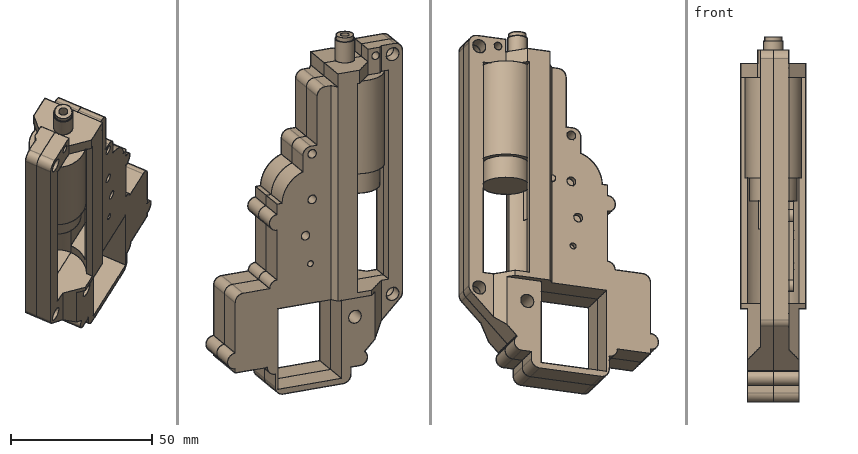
import cadquery as cq
import math


total_height = 129.5
bar_top = 124.8
slab_top = 120.0
chamber_top = 115.0
chamber_floor = 35.0
wide_bottom = 33.0
big = 259.0

wide_half = 11.5
body_half = 9.2
bar_right = 5.6
bar_left = 4.5

slab_rear = 28.5
rear_bevel_end = 30.0
tab_front = 9.3
tab_rear = 14.0
side_bevel_start = 15.3
slab_bevel_start = 20.0
window_front = 5.5
window_rear = 20.7

corner_radius = 3.1
bump_radius = 3.0
middle_bump_radius = 2.8
spine_rear = 35.5
lug_rear = 41.0
lug_top = 93.1
rear_wall = 51.1
gear_step = 73.2
tail_rear = 67.5
tail_top = 41.3
tail_bottom = 11.3
foot_rear = 51.8
foot_front = 22.3
foot_step = 5.8
toe_radius = 2.8
toe_y = 18.6
toe_z = foot_step + toe_radius
slope_corner = 27.8
gear_y, gear_z = 37.4, 72.6
gear_cover_radius = 11.8

upper_bump = (rear_wall, 66.2, bump_radius)
middle_bump = (rear_wall, tail_top, middle_bump_radius)
tail_bump = (tail_rear, 15.9, bump_radius)
foot_bump = (foot_rear, tail_bottom, corner_radius)
toe_bump = (toe_y, toe_z, toe_radius)

opening_front, opening_rear = 26.0, 50.8
opening_bottom = 2.2

mount_hole = 4.9
shaft_hole = 3.2
tab_hole = 2.8
pin_hole = 2.2
cross_holes = [
    (3.9, 120.8, mount_hole),
    (3.9, 29.0, mount_hole),
    (20.7, 24.9, mount_hole),
    (11.0, 121.8, tab_hole),
    (37.4, 90.1, shaft_hole),
    (gear_y, gear_z, shaft_hole),
    (40.0, 59.2, shaft_hole),
    (38.1, 48.2, pin_hole),
]

barrel_y = 16.0
barrel_radius = 10.1
barrel_bottom = 79.5
stub_radius = 8.4
stub_bottom = 71.3
chamber_radius = 10.2
nozzle_y = 20.5
nozzle_radius = 3.5
tip_radius = 3.1
tip_bottom = 127.9
nozzle_bore_radius = 1.5

cavity_wall = 2.1
cavity_half = 7.3
cavity_floor = 39.1
recess_half = 5.3
recess_floor = 61.4
recess_back = 26.5

nub_half = 10.0
nub_radius = 1.2
nub_z = 72.6


def extrude_across(sketch, x_from, x_to):
    """Extrude a closed (y, z) sketch from x_from to x_to."""
    return sketch.extrude(x_to - x_from).translate((x_from, 0, 0))


def disc_across(y, z, radius, x_from, x_to):
    """Cylinder along X."""
    return extrude_across(cq.Workplane("YZ").center(y, z).circle(radius), x_from, x_to)


def block(x_from, x_to, y_from, y_to, z_from, z_to):
    """Box given by its limits."""
    size = (x_to - x_from, y_to - y_from, z_to - z_from)
    return cq.Workplane("XY").box(*size, centered=False).translate((x_from, y_from, z_from))


def upright(y, radius, z_from, z_to):
    """Cylinder along Z on the parting plane."""
    return cq.Workplane("XY", origin=(0, y, z_from)).circle(radius).extrude(z_to - z_from)


def side_profile():
    """Side outline of the housing, extruded over the full width."""
    cover_rear_y = gear_y + math.sqrt(gear_cover_radius**2 - (gear_step - gear_z) ** 2)
    cover_top_z = gear_z + math.sqrt(gear_cover_radius**2 - (lug_rear - gear_y) ** 2)
    cover_mid_offset = gear_cover_radius * math.sin(math.radians(45))
    cover_mid = (gear_y + cover_mid_offset, gear_z + cover_mid_offset)
    slope_end_y = toe_y - toe_radius * math.sin(math.radians(45))
    outline = (
        cq.Workplane("YZ")
        .moveTo(0, bar_top)
        .lineTo(tab_rear, bar_top)
        .lineTo(tab_rear, slab_top)
        .lineTo(slab_rear, slab_top)
        .lineTo(slab_rear, chamber_top)
        .lineTo(spine_rear, chamber_top)
        .lineTo(spine_rear, lug_top)
        .lineTo(lug_rear, lug_top)
        .lineTo(lug_rear, cover_top_z)
        .threePointArc(cover_mid, (cover_rear_y, gear_step))
        .lineTo(rear_wall, gear_step)
        .lineTo(rear_wall, tail_top)
        .lineTo(tail_rear, tail_top)
        .lineTo(tail_rear, tail_bottom)
        .lineTo(foot_rear, tail_bottom)
        .lineTo(foot_rear, 0)
        .lineTo(foot_front, 0)
        .lineTo(foot_front, foot_step)
        .lineTo(toe_y, foot_step)
        .lineTo(slope_end_y, slope_corner - slope_end_y)
        .lineTo(0, slope_corner)
        .close()
    )
    profile = extrude_across(outline, -wide_half, wide_half)
    rounded_corners = [
        (0, bar_top),
        (0, slope_corner),
        (spine_rear, chamber_top),
        (lug_rear, lug_top),
        (tail_rear, tail_top),
        (foot_rear, 0),
        (foot_front, 0),
    ]
    for y, z in rounded_corners:
        corner = cq.selectors.NearestToPointSelector((0, y, z))
        profile = profile.edges("|X").edges(corner).fillet(corner_radius)
    for y, z, radius in (upper_bump, middle_bump, tail_bump, foot_bump, toe_bump):
        profile = profile.union(disc_across(y, z, radius, -wide_half, wide_half))
    return profile


def plan_prism(points, z_from, z_to):
    """Upright prism on a plan outline of (x, y) points."""
    return cq.Workplane("XY", origin=(0, 0, z_from)).polyline(points).close().extrude(z_to - z_from)


def plan_limits():
    """Plan shape of the housing at the bottom, around the chamber and at the top."""
    bevel_sum = wide_half - side_bevel_start
    front = [(-bar_left, 0), (bar_right, 0)]
    right_bevel = (bar_right, bar_right - bevel_sum)
    left_bevel = (-bar_left, bar_left - bevel_sum)
    body_bevel_y = body_half - bevel_sum

    lower = plan_prism(
        front + [
            right_bevel,
            (body_half, body_bevel_y),
            (body_half, big),
            (-body_half, big),
            (-body_half, body_bevel_y),
            left_bevel,
        ],
        0, wide_bottom,
    )
    middle = plan_prism(
        front + [
            right_bevel,
            (wide_half, side_bevel_start),
            (wide_half, slab_rear),
            (body_half, rear_bevel_end),
            (body_half, big),
            (-body_half, big),
            (-body_half, rear_bevel_end),
            (-wide_half, slab_rear),
            (-wide_half, side_bevel_start),
            left_bevel,
        ],
        wide_bottom, chamber_top,
    )
    slab_bevel_end = slab_bevel_start - (wide_half - bar_right)
    upper = plan_prism(
        front + [
            (bar_right, slab_bevel_end),
            (wide_half, slab_bevel_start),
            (wide_half, slab_rear),
            (-wide_half, slab_rear),
            (-wide_half, slab_bevel_start),
            (-bar_right, slab_bevel_end),
            (-bar_right, tab_front),
            (-bar_left, tab_front - (bar_right - bar_left)),
        ],
        chamber_top, bar_top,
    )
    return lower.union(middle).union(upper)


def through_openings():
    """Chamber window, lower opening and cross holes, all cut through along X."""
    window = block(-big, big, window_front, window_rear, chamber_floor, chamber_top)
    opening = block(-big, big, opening_front, opening_rear, opening_bottom, wide_bottom)
    openings = window.union(opening)
    for y, z, diameter in cross_holes:
        openings = openings.union(disc_across(y, z, diameter / 2, -big, big))
    return openings


def barrel_chamber():
    """Round rear part of the chamber, and the hole that the nozzle stands in."""
    chamber = upright(barrel_y, chamber_radius, chamber_floor, chamber_top)
    ahead_of_window = block(-big, big, -big, window_front, 0, total_height)
    nozzle_hole = upright(nozzle_y, nozzle_radius, chamber_top, slab_top)
    return chamber.cut(ahead_of_window).union(nozzle_hole)


def gear_cavity():
    """Cavity behind the chamber; the rear bumps stand out into it as bosses."""
    roof_radius = gear_cover_radius - cavity_wall
    cavity = block(
        0, cavity_half, window_rear, rear_wall - cavity_wall, cavity_floor, gear_step - cavity_wall
    )
    roof = disc_across(gear_y, gear_z, roof_radius, 0, cavity_half)
    neck = block(0, cavity_half, window_rear, gear_y, cavity_floor, gear_z + roof_radius)
    cavity = cavity.union(roof).union(neck)
    for y, z, radius in (upper_bump, middle_bump):
        cavity = cavity.cut(disc_across(y, z, radius, 0, cavity_half))
    return cavity


def left_recess():
    """Shallow recess with a flat back, just behind the round chamber."""
    return block(-recess_half, 0, window_rear, recess_back, recess_floor, chamber_top)


housing = side_profile().intersect(plan_limits()).cut(through_openings()).cut(barrel_chamber())


def make_left_shell():
    return housing.intersect(block(-big, 0, -big, big, 0, total_height)).cut(left_recess())


def make_right_shell():
    shell = housing.intersect(block(0, big, -big, big, 0, total_height))
    nub = disc_across(rear_bevel_end, nub_z, nub_radius, body_half, nub_half)
    return shell.union(nub).cut(gear_cavity())


def make_barrel():
    stub = upright(barrel_y, stub_radius, stub_bottom, barrel_bottom)
    return upright(barrel_y, barrel_radius, barrel_bottom, chamber_top).union(stub)


def make_nozzle():
    tube = upright(nozzle_y, nozzle_radius, chamber_top, tip_bottom)
    tip = upright(nozzle_y, tip_radius, tip_bottom, total_height)
    bore = upright(nozzle_y, nozzle_bore_radius, chamber_top, total_height)
    return tube.union(tip).cut(bore)


left_shell = make_left_shell()
right_shell = make_right_shell()
barrel = make_barrel()
nozzle = make_nozzle()

result = cq.Compound.makeCompound(
    [left_shell.val(), right_shell.val(), barrel.val(), nozzle.val()]
)